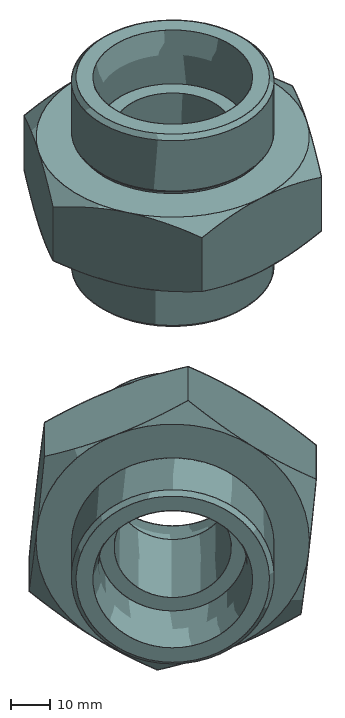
import cadquery as cq
import math

total_height = 61.0
hex_corner_width = 80.8
hex_flat_width = hex_corner_width * math.cos(math.radians(30))
hex_height = 23.3
hex_chamfer_angle = 30.0
cone_overrun = 0.8

thread_radius = 52.0 / 2
neck_radius = 49.55 / 2
end_chamfer = thread_radius - neck_radius
neck_length = 0.5

mouth_radius = 40.9 / 2
socket_radius = 38.0 / 2
passage_radius = 30.0 / 2
seat_half_angle = 12.0
seat_depth = (mouth_radius - socket_radius) / math.tan(math.radians(seat_half_angle))
socket_depth = 16.0

half_height = total_height / 2
half_hex = hex_height / 2


def revolve_half(points):
    """Revolve an (r, z) outline about Z and mirror it below the XY plane."""
    upper = cq.Workplane("XZ").polyline(points).close().revolve(360, (0, 0), (0, 1))
    return upper.union(upper.mirror("XY"))


def hexagon():
    """Hexagon with corners on the Y axis and conically chamfered ends."""
    prism = (
        cq.Workplane("XY")
        .polygon(6, hex_corner_width)
        .extrude(hex_height)
        .translate((0, 0, -half_hex))
        .rotate((0, 0, 0), (0, 0, 1), 90)
    )
    flat_radius = hex_flat_width / 2
    outer_radius = hex_corner_width / 2 + cone_overrun
    cone_drop = (outer_radius - flat_radius) * math.tan(math.radians(hex_chamfer_angle))
    envelope = revolve_half([
        (0, 0),
        (outer_radius, 0),
        (outer_radius, half_hex - cone_drop),
        (flat_radius, half_hex),
        (0, half_hex),
    ])
    return prism.intersect(envelope)


def threaded_ends():
    """Two plain cylinders with chamfered tips and a narrow neck beside the hexagon."""
    neck_top = half_hex + neck_length
    return revolve_half([
        (0, 0),
        (neck_radius, 0),
        (neck_radius, neck_top),
        (thread_radius, neck_top + end_chamfer),
        (thread_radius, half_height - end_chamfer),
        (neck_radius, half_height),
        (0, half_height),
    ])


def bore():
    """Through passage with a stepped, conical socket at each end."""
    socket_floor = half_height - socket_depth
    return revolve_half([
        (0, 0),
        (passage_radius, 0),
        (passage_radius, socket_floor),
        (socket_radius, socket_floor),
        (socket_radius, half_height - seat_depth),
        (mouth_radius, half_height),
        (0, half_height),
    ])


result = hexagon().union(threaded_ends()).cut(bore())